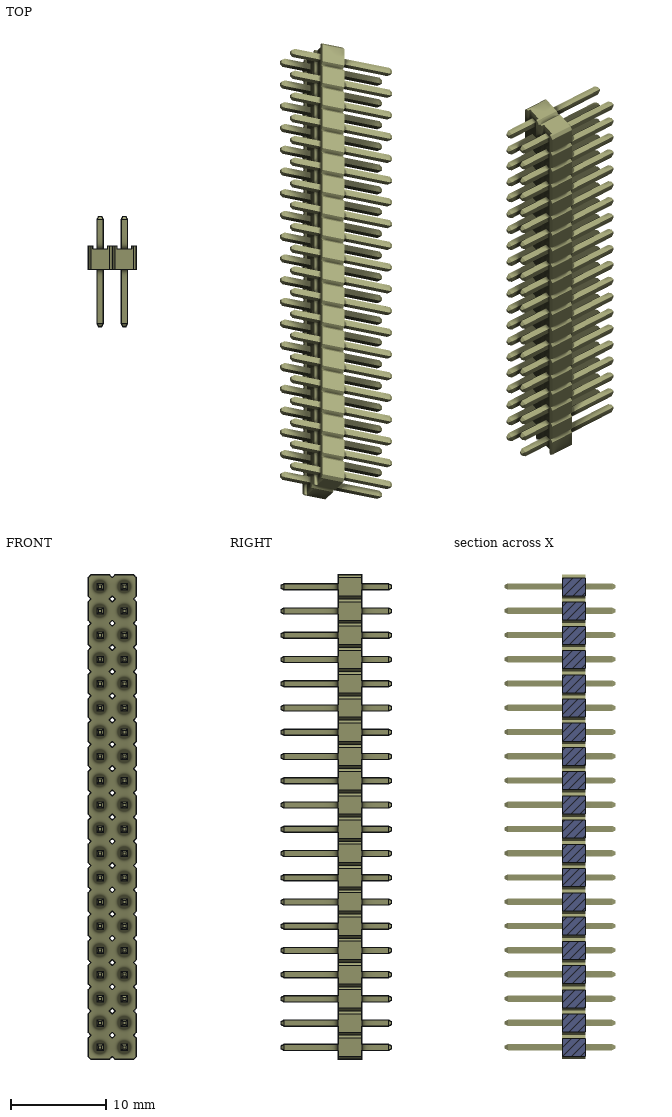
import cadquery as cq

rows = 20
columns = 2
length = 50.8
pitch = length / rows
width = columns * pitch

body_depth = 2.5
corner_chamfer = 0.3
groove_width = 1.5
groove_depth = 0.3

pin_side = 0.65
front_pin_length = 6.0
back_pin_length = 3.1
tip_length = pin_side / 2
tip_side = pin_side / 2

front_face_y = -body_depth / 2
back_face_y = body_depth / 2
front_pin_end_y = front_face_y - front_pin_length
back_pin_end_y = back_face_y + back_pin_length

column_places = [(i - (columns - 1) / 2) * pitch for i in range(columns)]
row_places = [(i - (rows - 1) / 2) * pitch for i in range(rows)]
pin_places = [(x, z) for x in column_places for z in row_places]


def make_body():
    """Block with a diamond cut at every cell corner, which chamfers all cells."""
    block = cq.Workplane("XY").box(width, body_depth, length)
    corner_places = [
        (i * pitch - width / 2, j * pitch - length / 2)
        for i in range(columns + 1)
        for j in range(rows + 1)
    ]
    notches = (
        cq.Workplane("XZ", origin=(0, back_face_y, 0))
        .pushPoints(corner_places)
        .polygon(4, 2 * corner_chamfer)
        .extrude(body_depth)
    )
    return block.cut(notches)


def make_grooves():
    """Shallow channels along the back face, one behind each pin column."""
    return (
        cq.Workplane("XY", origin=(0, back_face_y - groove_depth / 2, 0))
        .pushPoints([(x, 0) for x in column_places])
        .box(groove_width, groove_depth, length)
    )


def make_pin():
    """Square pin on the Y axis, with a tapered tip at each end."""
    shank_front_y = front_pin_end_y + tip_length
    shank_back_y = back_pin_end_y - tip_length
    shank_length = shank_back_y - shank_front_y
    pin = (
        cq.Workplane("XZ", origin=(0, shank_back_y, 0))
        .rect(pin_side, pin_side)
        .extrude(shank_length)
    )
    for shank_end_y, direction in ((shank_front_y, 1), (shank_back_y, -1)):
        tip = (
            cq.Workplane("XZ", origin=(0, shank_end_y, 0))
            .rect(pin_side, pin_side)
            .workplane(offset=direction * tip_length)
            .rect(tip_side, tip_side)
            .loft()
        )
        pin = pin.union(tip)
    return pin.val()


pin = make_pin()
pins = [pin.translate(cq.Vector(x, 0, z)) for x, z in pin_places]
body = make_body().cut(make_grooves())
result = cq.Workplane(body.val().fuse(*pins))